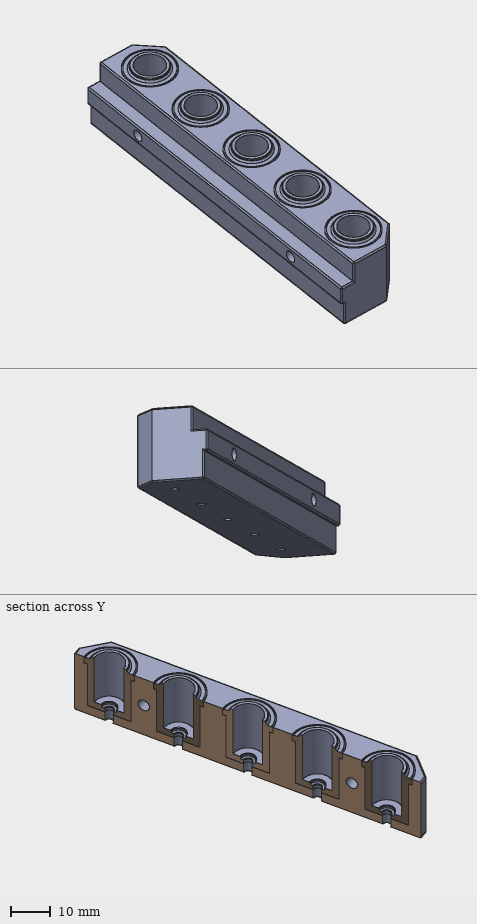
import cadquery as cq

length = 100.0
depth = 20.8
height = 19.0
step_setback = 4.0
base_setback = 1.0
ledge_top = 12.8
ledge_bottom = 7.2
corner_cut = 6.0
edge_chamfer = 0.4

cross_hole_dia = 3.2
cross_hole_inset = 20.0
cross_hole_z = 10.0

bushing_count = 5
bushing_pitch = 20.0
bushing_y = 12.3
bushing_length = 16.0

body_dia = 12.4
flange_dia = 14.4
flange_thickness = 2.0
flange_chamfer = 0.4
boss_dia = 10.4
boss_height = 1.0
boss_flare = 0.5
boss_chamfer = 0.2

bore_dia = 8.4
floor_thickness = 2.0
recess_dia = 4.1
recess_depth = 0.8
outlet_dia = 2.3
inner_chamfer = 0.2

boss_top_z = height + boss_height
flange_z = height - flange_thickness
bushing_bottom_z = height - bushing_length
bore_floor_z = bushing_bottom_z + floor_thickness
recess_floor_z = bore_floor_z - recess_depth
first_bushing_x = (length - (bushing_count - 1) * bushing_pitch) / 2
bushing_xs = [first_bushing_x + i * bushing_pitch for i in range(bushing_count)]


def make_bar():
    """Stepped section run along X, with cut back corners and chamfered edges."""
    section = [
        (base_setback, 0),
        (depth, 0),
        (depth, height),
        (step_setback, height),
        (step_setback, ledge_top),
        (0, ledge_top),
        (0, ledge_bottom),
        (base_setback, ledge_bottom),
    ]
    bar = cq.Workplane("YZ").polyline(section).close().extrude(length)
    bar = bar.edges("|Z and >Y").chamfer(corner_cut)

    cut_start_y = depth - corner_cut
    rims = bar.faces("<X or >X or <Y or >Z or <Z").edges()
    rims = rims.filter(lambda edge: abs(edge.Center().y - cut_start_y) > edge_chamfer)
    return rims.chamfer(edge_chamfer)


def revolve_about_bushing_axis(profile, x):
    """Turn a (radius, height) profile about the upright axis of the bushing at x."""
    turned = cq.Workplane("XZ").polyline(profile).close().revolve(360, (0, 0, 0), (0, 1, 0))
    return turned.translate((x, bushing_y, 0))


def make_cross_hole(x):
    hole = cq.Workplane("XZ").center(x, cross_hole_z).circle(cross_hole_dia / 2)
    return hole.extrude(-depth)


def make_bushing_pocket(x):
    """Seat for one bushing, open at the top, with the outlet hole through the bottom."""
    profile = [
        (0, 0),
        (outlet_dia / 2, 0),
        (outlet_dia / 2, bushing_bottom_z),
        (body_dia / 2, bushing_bottom_z),
        (body_dia / 2, flange_z),
        (flange_dia / 2, flange_z),
        (flange_dia / 2, height),
        (0, height),
    ]
    return revolve_about_bushing_axis(profile, x)


def make_housing():
    housing = make_bar()
    for x in (cross_hole_inset, length - cross_hole_inset):
        housing = housing.cut(make_cross_hole(x))
    for x in bushing_xs:
        housing = housing.cut(make_bushing_pocket(x))
    return housing


def make_bushing(x):
    """Flanged bushing with a flared, chamfered boss on top and a stepped bore."""
    profile = [
        (outlet_dia / 2, bushing_bottom_z),
        (body_dia / 2, bushing_bottom_z),
        (body_dia / 2, flange_z),
        (flange_dia / 2, flange_z),
        (flange_dia / 2, height - flange_chamfer),
        (flange_dia / 2 - flange_chamfer, height),
        (boss_dia / 2 + boss_flare, height),
        (boss_dia / 2, height + boss_flare),
        (boss_dia / 2, boss_top_z - boss_chamfer),
        (boss_dia / 2 - boss_chamfer, boss_top_z),
        (bore_dia / 2, boss_top_z),
        (bore_dia / 2, bore_floor_z),
        (recess_dia / 2 + inner_chamfer, bore_floor_z),
        (recess_dia / 2, bore_floor_z - inner_chamfer),
        (recess_dia / 2, recess_floor_z),
        (outlet_dia / 2 + inner_chamfer, recess_floor_z),
        (outlet_dia / 2, recess_floor_z - inner_chamfer),
    ]
    return revolve_about_bushing_axis(profile, x)


housing = make_housing()
bushings = [make_bushing(x) for x in bushing_xs]

result = cq.Compound.makeCompound([housing.val(), *[bushing.val() for bushing in bushings]])